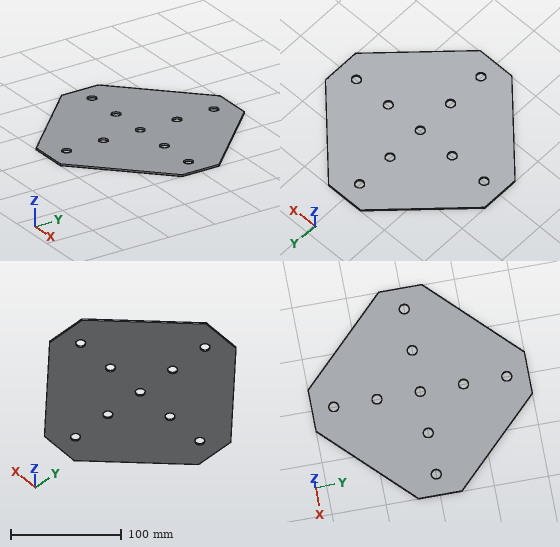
import cadquery as cq

plate_width = 200.0
plate_thickness = 2.0
hole_pitch = 40.0
hole_diameter = 9.0
holes_per_arm = 2

flat_length = hole_pitch
corner_cut = (plate_width - flat_length) / 2

plate = (
    cq.Workplane("XY")
    .box(plate_width, plate_width, plate_thickness)
    .edges("|Z")
    .chamfer(corner_cut)
)

hole_centres = [(0, 0)]
for step in range(1, holes_per_arm + 1):
    offset = step * hole_pitch
    hole_centres += [(offset, 0), (-offset, 0), (0, offset), (0, -offset)]

result = plate.faces(">Z").workplane().pushPoints(hole_centres).hole(hole_diameter)